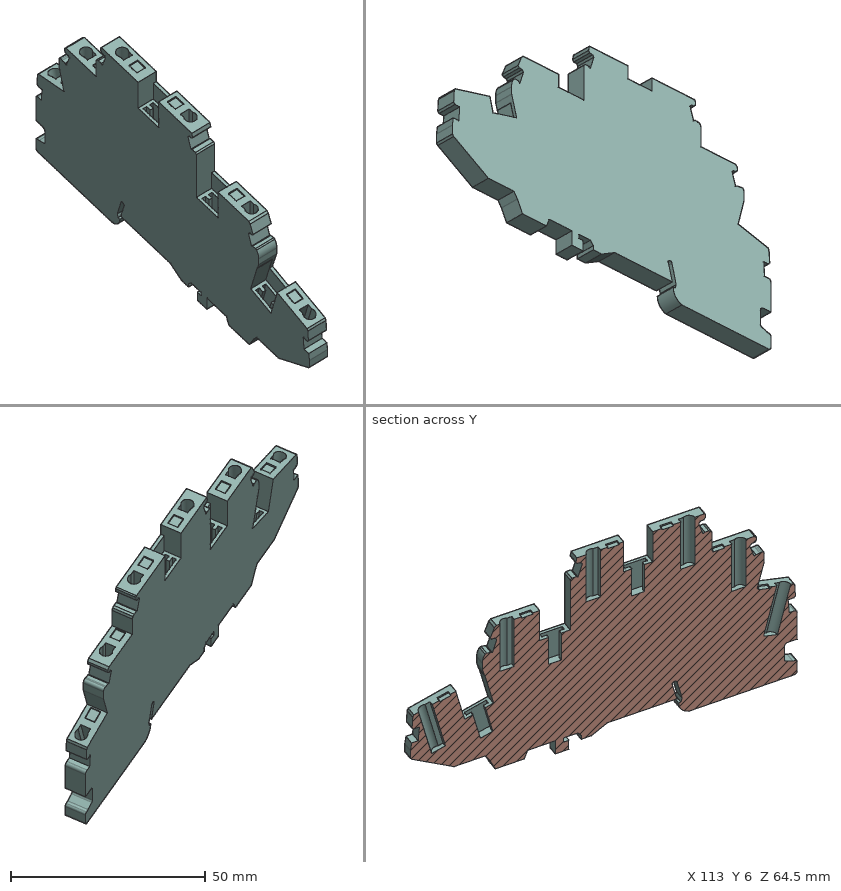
import cadquery as cq
import math

LENGTH = 113.0
WIDTH = 6.0
TOP_Z = 64.5
MIDDLE_Z = 51.2
TILT = 14.0
SIN_TILT = math.sin(math.radians(TILT))
COS_TILT = math.cos(math.radians(TILT))

TOP_LEFT_X = 26.8
TOP_RIGHT_X = 64.7
MIDDLE_LEFT_X = 11.9
MIDDLE_RIGHT_X = 89.7
MIDDLE_RIGHT_NOSE_DROP = 2.6
TOP_SIDE_X = (24.9, 66.3)
LOW_EDGE_X = 1.0
LOW_EDGE_Z = 30.7
LEFT_LOW_LENGTH = 10.6
RIGHT_LOW_LENGTH = 12.3

SLOT_DEPTH = 10.1
LOW_SLOT_DEPTH = 10.7
SLOT_WALL_HEIGHT = 6.1
SLOT_WALL_THICKNESS = 1.0
TOP_SLOT_WIDTH = 8.5
MIDDLE_SLOT_WIDTH = 8.9
LOW_SLOT_WIDTH = 8.6
TOP_SLOT_X = 50.7

POCKET_LENGTH = 6.5
POCKET_WIDTH = 3.3
POCKET_DEPTH = 9.0
POCKET_Y = -0.5
TAB_LENGTH = 1.5
TAB_WIDTH = 1.0

OPENING_Y = 0.2
ENTRY_RADIUS = 1.7
ENTRY_FLAT_OFFSET = 2.4
ENTRY_FLAT_WIDTH = 2.8
ENTRY_DEPTH = 15.8
SQUARE_LENGTH = 3.3
SQUARE_WIDTH = 2.8
SQUARE_DEPTH = 0.5
ENTRY_TO_SQUARE = 6.2

LIP_Z = 21.6
END_SLOT_X = 3.7
END_SLOT_TOP_Z = 11.6
END_SLOT_INNER_Z = 5.9
END_SLOT_OUTER_Z = 4.7

RAIL_Z = 5.5
FOOT_Z = 3.0
CLIP_Z = 1.1

right_low_outer = (LENGTH - LOW_EDGE_X, LOW_EDGE_Z)
right_low_inner = (
    right_low_outer[0] - RIGHT_LOW_LENGTH,
    LOW_EDGE_Z + RIGHT_LOW_LENGTH * SIN_TILT / COS_TILT,
)
left_low_inner = (
    LOW_EDGE_X + LEFT_LOW_LENGTH,
    LOW_EDGE_Z + LEFT_LOW_LENGTH * SIN_TILT / COS_TILT,
)


def on_right_slope(along, up):
    """Point placed from the inner corner of the right tilted tier, along and square to its surface."""
    x, z = right_low_inner
    return (x + along * COS_TILT + up * SIN_TILT, z - along * SIN_TILT + up * COS_TILT)


def latch(tip_x, tip_z, outward):
    """Hooked notch below a tier edge, listed downwards; outward is -1 on the left and 1 on the right."""
    offsets = [(0, 0), (-0.5, -0.6), (-1.5, -0.7), (-1.9, -1.2), (-0.7, -5.1), (-0.2, -4.7)]
    return [(tip_x + outward * dx, tip_z + dz) for dx, dz in offsets]


def end_notch(end_x, outward, lower_inset):
    """Notch below a tilted tier, listed downwards from the tier edge."""
    offsets = [
        (LOW_EDGE_X, LOW_EDGE_Z), (0.7, 30.1), (0.5, 26.4), (0.9, 25.9),
        (2.6, 25.9), (2.3, LIP_Z), (lower_inset, LIP_Z),
    ]
    return [(end_x - outward * inset, z) for inset, z in offsets]


def body():
    """Closed side outline, clockwise from the lower left corner, extruded across the width."""
    slot_wall_drop = SLOT_DEPTH - SLOT_WALL_HEIGHT
    top_slot_left = TOP_SLOT_X - TOP_SLOT_WIDTH
    top_slot_z = TOP_Z - slot_wall_drop
    top_left_side, top_right_side = TOP_SIDE_X
    middle_slot_right = top_right_side + MIDDLE_SLOT_WIDTH
    middle_slot_z = MIDDLE_Z - slot_wall_drop

    left_end = [
        (0, END_SLOT_OUTER_Z), (1.4, 5.0), (END_SLOT_X, END_SLOT_INNER_Z),
        (END_SLOT_X, END_SLOT_TOP_Z), (0, END_SLOT_TOP_Z),
    ]
    left_end += end_notch(0, -1, 0)[::-1]
    left_end += [left_low_inner, (9.6, 41.2), (9.6, 44.2)]

    left_tiers = [(10.5, 45.1), (11.0, 45.0)]
    left_tiers += latch(MIDDLE_LEFT_X, MIDDLE_Z - 1.6, -1)[::-1]
    left_tiers += [
        (MIDDLE_LEFT_X, MIDDLE_Z - 0.7), (MIDDLE_LEFT_X + 0.7, MIDDLE_Z),
        (top_left_side, MIDDLE_Z), (top_left_side, 57.4),
        (top_left_side + 0.3, 58.1), (top_left_side + 1.0, 58.3), (26.4, 58.3),
    ]
    left_tiers += latch(TOP_LEFT_X, TOP_Z - 1.5, -1)[::-1]

    right_tiers = [
        (TOP_LEFT_X, TOP_Z - 0.3), (TOP_LEFT_X + 0.3, TOP_Z), (top_slot_left, TOP_Z),
        (top_slot_left, top_slot_z), (TOP_SLOT_X, top_slot_z), (TOP_SLOT_X, TOP_Z),
        (TOP_RIGHT_X - 0.3, TOP_Z),
    ]
    right_tiers += latch(TOP_RIGHT_X, TOP_Z - 1.5, 1)
    right_tiers += [
        (top_right_side - 0.5, 58.3), (top_right_side, 57.9), (top_right_side, middle_slot_z),
        (middle_slot_right, middle_slot_z), (middle_slot_right, MIDDLE_Z),
        (MIDDLE_RIGHT_X - 1.8, MIDDLE_Z), (MIDDLE_RIGHT_X - 1.2, MIDDLE_Z - 0.6),
    ]
    right_tiers += latch(MIDDLE_RIGHT_X, MIDDLE_Z - 1.0 - MIDDLE_RIGHT_NOSE_DROP, 1)
    right_tiers += [(90.7, 43.0), (91.2, 42.8)]

    low_wall_drop = LOW_SLOT_DEPTH - SLOT_WALL_HEIGHT
    right_end = [on_right_slope(-LOW_SLOT_WIDTH, -low_wall_drop), on_right_slope(0, -low_wall_drop)]
    right_end += [right_low_inner]
    right_end += end_notch(LENGTH, 1, 0.3)
    right_end += [(LENGTH, 19.2), (LENGTH, 16.5), (112.5, 15.9), (100.2, 8.6), (91.2, 8.6)]

    foot = [
        (90.0, 6.8), (88.1, FOOT_Z), (79.7, FOOT_Z), (78.6, RAIL_Z), (70.6, RAIL_Z),
        (70.6, CLIP_Z), (66.7, CLIP_Z), (66.7, 4.3), (68.1, 4.3), (68.1, RAIL_Z), (64.1, RAIL_Z),
        (63.0, 4.3), (63.0, FOOT_Z), (60.1, FOOT_Z), (55.5, RAIL_Z), (35.0, RAIL_Z), (36.5, 11.1),
    ]
    return (
        cq.Workplane("XZ", origin=(0, WIDTH / 2, 0))
        .moveTo(0, 0)
        .polyline(left_end, includeCurrent=True)
        .threePointArc((9.8, 44.9), left_tiers[0])
        .polyline(left_tiers[1:], includeCurrent=True)
        .polyline(right_tiers, includeCurrent=True)
        .threePointArc((91.8, 41.8), (92.0, 40.1))
        .lineTo(92.0, 37.9)
        .polyline(right_end, includeCurrent=True)
        .polyline(foot, includeCurrent=True)
        .threePointArc((35.9, 11.6), (35.1, 11.2))
        .polyline([(33.7, 5.3), (34.0, 4.2), (34.7, 4.1)], includeCurrent=True)
        .threePointArc((33.9, 1.6), (31.6, 0))
        .close()
        .extrude(WIDTH)
    )


def round_corner(solid, x, z, radius):
    """Round the edge across the width that passes nearest to (x, z)."""
    corner = cq.selectors.NearestToPointSelector((x, 0, z))
    return solid.edges("|Y").edges(corner).fillet(radius)


def tier_plane(x, z, slope):
    """Work plane on a tier surface; slope is the downward angle towards +X, in degrees."""
    angle = math.radians(slope)
    return cq.Plane(
        origin=(x, 0, z),
        xDir=(math.cos(angle), 0, -math.sin(angle)),
        normal=(math.sin(angle), 0, math.cos(angle)),
    )


def tier_openings(plane, outward):
    """Deep wire entry centred on the plane origin, and the shallow square opening inboard of it."""
    surface = cq.Workplane(plane)
    entry = surface.center(0, OPENING_Y).circle(ENTRY_RADIUS).extrude(-ENTRY_DEPTH)
    flat_side = (
        surface.center(-outward * ENTRY_FLAT_OFFSET / 2, OPENING_Y)
        .rect(ENTRY_FLAT_OFFSET, ENTRY_FLAT_WIDTH)
        .extrude(-ENTRY_DEPTH)
    )
    square = (
        surface.center(-outward * ENTRY_TO_SQUARE, OPENING_Y)
        .rect(SQUARE_LENGTH, SQUARE_WIDTH)
        .extrude(-SQUARE_DEPTH)
    )
    return entry.union(flat_side).union(square)


def marker_slot(plane, width, depth):
    """Slot left of the plane origin, open to -Y, with an H-shaped pocket in its floor."""
    surface = cq.Workplane(plane)
    slot = (
        surface.center(-width / 2, -SLOT_WALL_THICKNESS / 2)
        .rect(width, WIDTH - SLOT_WALL_THICKNESS)
        .extrude(-depth)
    )
    floor = surface.workplane(offset=-depth).center(-width / 2, POCKET_Y)
    pocket = floor.rect(POCKET_LENGTH, POCKET_WIDTH).extrude(-POCKET_DEPTH)
    tab_offset = (POCKET_LENGTH - TAB_LENGTH) / 2
    tabs = (
        floor.pushPoints([(-tab_offset, 0), (tab_offset, 0)])
        .rect(TAB_LENGTH, TAB_WIDTH)
        .extrude(-POCKET_DEPTH)
    )
    return slot.union(pocket.cut(tabs))


LEFT_ENTRY_X = 3.6
RIGHT_ENTRY_X = 108.9
left_entry_z = LOW_EDGE_Z + (LEFT_ENTRY_X - LOW_EDGE_X) * SIN_TILT / COS_TILT
right_entry_z = LOW_EDGE_Z + (right_low_outer[0] - RIGHT_ENTRY_X) * SIN_TILT / COS_TILT
entries = [
    (LEFT_ENTRY_X, left_entry_z, -TILT, -1),
    (16.7, MIDDLE_Z, 0, -1),
    (31.6, TOP_Z, 0, -1),
    (59.9, TOP_Z, 0, 1),
    (85.1, MIDDLE_Z, 0, 1),
    (RIGHT_ENTRY_X, right_entry_z, TILT, 1),
]

slots = [
    (TOP_SLOT_X, TOP_Z, 0, TOP_SLOT_WIDTH, SLOT_DEPTH),
    (TOP_SIDE_X[1] + MIDDLE_SLOT_WIDTH, MIDDLE_Z, 0, MIDDLE_SLOT_WIDTH, SLOT_DEPTH),
    (*right_low_inner, TILT, LOW_SLOT_WIDTH, LOW_SLOT_DEPTH),
]

left_end_corners = [
    (0, 0, 0.9),
    (0, END_SLOT_OUTER_Z, 0.7),
    (END_SLOT_X, END_SLOT_INNER_Z, 0.6),
    (END_SLOT_X, END_SLOT_TOP_Z, 1.0),
    (0, LIP_Z, 0.9),
]

result = body()
for x, z, radius in left_end_corners:
    result = round_corner(result, x, z, radius)
for x, z, slope, outward in entries:
    result = result.cut(tier_openings(tier_plane(x, z, slope), outward))
for x, z, slope, width, depth in slots:
    result = result.cut(marker_slot(tier_plane(x, z, slope), width, depth))